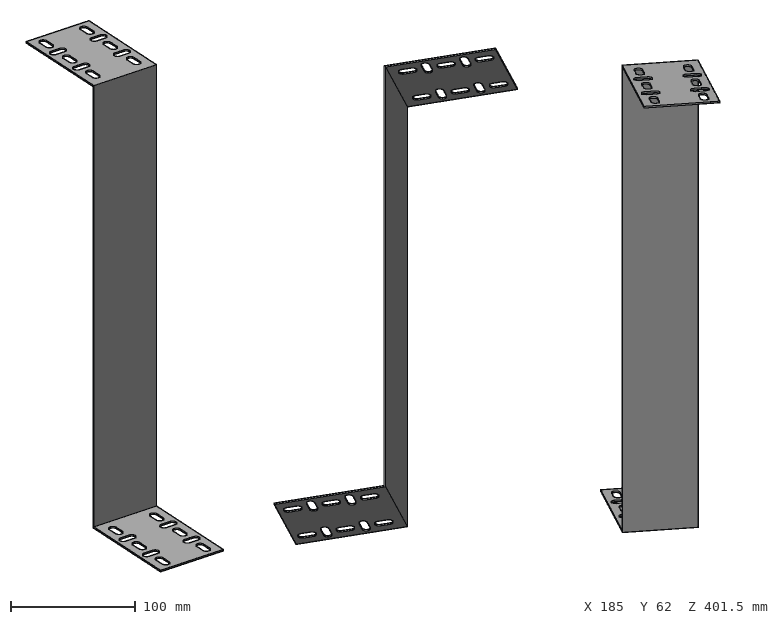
import cadquery as cq

length = 185.0
width = 62.0
height = 401.5
thickness = 1.5

slot_length = 15.3
slot_width = 7.0
slot_pitch = 16.0
slots_per_row = 5
row_spacing = 40.0
end_margin = 12.5

flange_length = (length + thickness) / 2


def plate(size_x, size_z, center_x, center_z):
    """Flat piece of the bracket, spanning its full width."""
    return cq.Workplane("XY").box(size_x, width, size_z).translate((center_x, 0, center_z))


def flange_slots(side, center_z):
    """Two rows of slots, alternately lengthwise and crosswise, from the free end inward."""
    cutters = cq.Workplane("XY")
    for index in range(slots_per_row):
        x = side * (length / 2 - end_margin - index * slot_pitch)
        angle = 90 * (index % 2)
        row_pair = (
            cq.Workplane("XY", origin=(x, 0, center_z))
            .pushPoints([(0, -row_spacing / 2), (0, row_spacing / 2)])
            .slot2D(slot_length, slot_width, angle)
            .extrude(thickness, both=True)
        )
        cutters = cutters.add(row_pair)
    return cutters.combine()


def flange(side, center_z):
    """Slotted flange reaching from the web to the -X (side=-1) or +X (side=1) end."""
    center_x = side * (length - flange_length) / 2
    blank = plate(flange_length, thickness, center_x, center_z)
    return blank.cut(flange_slots(side, center_z))


web = plate(thickness, height, 0, 0)
flange_level = (height - thickness) / 2
top_flange = flange(-1, flange_level)
bottom_flange = flange(1, -flange_level)

result = web.union(top_flange).union(bottom_flange)